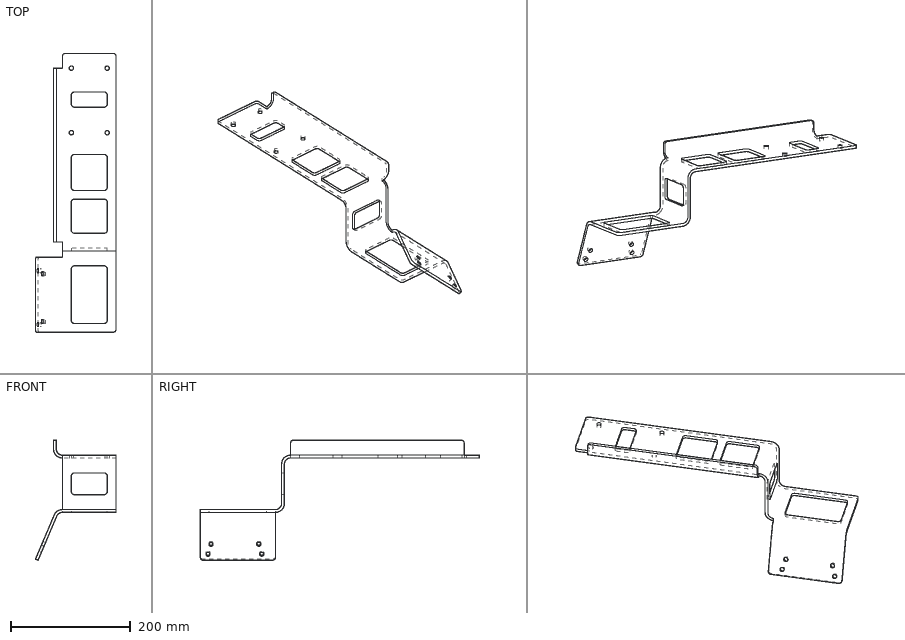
import cadquery as cq
import math

thickness = 5.0
inner_radius = 10.0
outer_radius = inner_radius + thickness
corner_radius = 5.0
BENT_UP = 1
BENT_DOWN = -1

width = 90.0
total_length = 467.0
lower_length = 126.0
step_height = 96.0
riser_front = lower_length + inner_radius
riser_back = riser_front + thickness
upper_start = riser_front + outer_radius
upper_bottom = step_height - thickness

upper_flange_angle = 90.0
upper_flange_rear_gap = 25.0
upper_flange_length = total_length - upper_flange_rear_gap - upper_start
upper_flange_flat = 15.0

lower_flange_angle = 67.0
lower_flange_flat = 80.57

window_margin = 15.0
window_width = width - 2 * window_margin
lower_window_length = lower_length - 2 * window_margin
riser_window_height = step_height - 2 * outer_radius - 2 * window_margin
front_window_start = upper_start + window_margin
front_window_length = 56.5
middle_window_start = front_window_start + front_window_length + window_margin
middle_window_length = 60.0
rear_window_start = 377.0
rear_window_length = 25.0

hole_diameter = 7.0
plate_hole_spacing = 60.0
plate_hole_row_pitch = 108.0
rear_hole_margin = 25.0
rear_hole_row = total_length - rear_hole_margin
plate_hole_rows = (rear_hole_row - plate_hole_row_pitch, rear_hole_row)
flange_hole_center = 58.0
flange_hole_rows = ((11.0, 90.0), (29.0, 80.0))


def make_strip():
    """Side profile of the two plates and the riser, extruded across the width."""
    riser_bottom = outer_radius
    riser_top = step_height - outer_radius
    strip = (
        cq.Workplane("YZ")
        .moveTo(0, 0)
        .lineTo(lower_length, 0)
        .radiusArc((riser_back, riser_bottom), -outer_radius)
        .lineTo(riser_back, riser_top)
        .radiusArc((upper_start, upper_bottom), inner_radius)
        .lineTo(total_length, upper_bottom)
        .lineTo(total_length, step_height)
        .lineTo(upper_start, step_height)
        .radiusArc((riser_front, riser_top), -outer_radius)
        .lineTo(riser_front, riser_bottom)
        .radiusArc((lower_length, thickness), inner_radius)
        .lineTo(0, thickness)
        .close()
        .extrude(width)
    )
    strip = strip.faces(">Y").edges("|Z").fillet(corner_radius)
    return strip.faces("<Y").edges("|Z and >X").fillet(corner_radius)


def flange_plane(start, outer_face, bend_angle, side):
    """Plane on the outer face of a flange, at the end of its bend.

    Local x runs to the free edge; the normal points out of the outer face.
    side is BENT_UP or BENT_DOWN.
    """
    angle = math.radians(bend_angle)
    center_height = outer_face + side * outer_radius
    along = (-math.cos(angle), 0, side * math.sin(angle))
    outward = (-math.sin(angle), 0, -side * math.cos(angle))
    origin = (outer_radius * outward[0], start, center_height + outer_radius * outward[2])
    return cq.Plane(origin=origin, xDir=along, normal=outward)


def make_flange(start, length, outer_face, bend_angle, flat, side):
    """Bend along the -X edge of a plate, ending in a flat tab with round corners."""
    axis_height = side * outer_radius
    bend = (
        cq.Workplane("YZ", origin=(0, start, outer_face))
        .rect(length, side * thickness, centered=False)
        .revolve(bend_angle, (0, axis_height), (side, axis_height))
    )
    plane = flange_plane(start, outer_face, bend_angle, side)
    signed_length = length * plane.yDir.y
    tab = cq.Workplane(plane).rect(flat, signed_length, centered=False).extrude(-thickness)
    free_edge = tab.faces(cq.selectors.DirectionMinMaxSelector(plane.xDir))
    corners = free_edge.edges(cq.selectors.ParallelDirSelector(plane.zDir))
    return bend.union(corners.fillet(corner_radius))


def make_window(plane, length, center):
    """Cutter for a round-cornered window of the common width, through one sheet."""
    cutter_depth = 4 * thickness
    block = cq.Workplane(plane).box(window_width, length, cutter_depth)
    corners = block.edges(cq.selectors.ParallelDirSelector(block.plane.zDir))
    return corners.fillet(corner_radius).translate(center)


def cut_windows(part):
    """Windows through both plates and the riser."""
    middle = width / 2
    plate_windows = (
        (window_margin, lower_window_length, thickness),
        (front_window_start, front_window_length, step_height),
        (middle_window_start, middle_window_length, step_height),
        (rear_window_start, rear_window_length, step_height),
    )
    for start, length, height in plate_windows:
        part = part.cut(make_window("XY", length, (middle, start + length / 2, height)))
    riser_center = (middle, riser_front, step_height / 2)
    return part.cut(make_window("XZ", riser_window_height, riser_center))


def cut_plate_holes(part):
    """Two rows of mounting holes in the upper plate."""
    offset = plate_hole_spacing / 2
    points = [(width / 2 + dx, y) for y in plate_hole_rows for dx in (-offset, offset)]
    holes = (
        cq.Workplane("XY", origin=(0, 0, upper_bottom))
        .pushPoints(points)
        .circle(hole_diameter / 2)
        .extrude(thickness)
    )
    return part.cut(holes)


def cut_flange_holes(part):
    """Two rows of mounting holes in the lower flange, square to its face."""
    plane = flange_plane(0, thickness, lower_flange_angle, BENT_DOWN)
    points = []
    for edge_distance, spacing in flange_hole_rows:
        for offset in (-spacing / 2, spacing / 2):
            along_edge = (flange_hole_center + offset) * plane.yDir.y
            points.append((lower_flange_flat - edge_distance, along_edge))
    holes = cq.Workplane(plane).pushPoints(points).circle(hole_diameter / 2).extrude(-thickness)
    return part.cut(holes)


upper_flange = make_flange(
    upper_start, upper_flange_length, upper_bottom, upper_flange_angle, upper_flange_flat, BENT_UP
)
lower_flange = make_flange(
    0, lower_length, thickness, lower_flange_angle, lower_flange_flat, BENT_DOWN
)
bracket = make_strip().union(upper_flange).union(lower_flange)
bracket = cut_windows(bracket)
bracket = cut_plate_holes(bracket)
bracket = cut_flange_holes(bracket)
result = bracket.solids()